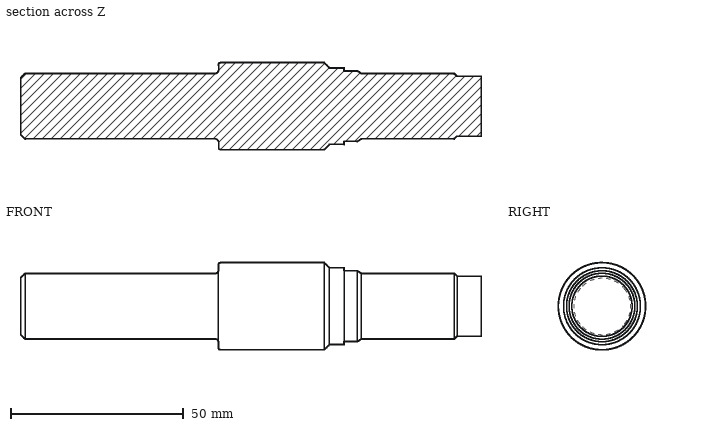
import cadquery as cq

total_length = 133.4
collar_start = 57.2
collar_end = 89.3
shoulder_end = 93.6
seat_end = 98.5
journal_end = 126.3

shank_diameter = 19.1
collar_diameter = 25.3
shoulder_diameter = 22.3
seat_diameter = 20.5
journal_diameter = 19.1
tip_diameter = 17.5

shank_chamfer = 1.3
collar_edge_radius = 0.8
collar_root_radius = 0.8
seat_taper_length = 1.1

shank_radius = shank_diameter / 2
collar_radius = collar_diameter / 2
shoulder_radius = shoulder_diameter / 2
seat_radius = seat_diameter / 2
journal_radius = journal_diameter / 2
tip_radius = tip_diameter / 2

collar_chamfer = collar_radius - shoulder_radius
journal_chamfer = journal_radius - tip_radius

profile = (
    cq.Workplane("XY")
    .moveTo(0, 0)
    .lineTo(0, shank_radius - shank_chamfer)
    .lineTo(shank_chamfer, shank_radius)
    .lineTo(collar_start - collar_root_radius, shank_radius)
    .radiusArc((collar_start, shank_radius + collar_root_radius), -collar_root_radius)
    .lineTo(collar_start, collar_radius - collar_edge_radius)
    .radiusArc((collar_start + collar_edge_radius, collar_radius), collar_edge_radius)
    .lineTo(collar_end - collar_chamfer, collar_radius)
    .lineTo(collar_end, shoulder_radius)
    .lineTo(shoulder_end, shoulder_radius)
    .lineTo(shoulder_end, seat_radius)
    .lineTo(seat_end - seat_taper_length, seat_radius)
    .lineTo(seat_end, journal_radius)
    .lineTo(journal_end - journal_chamfer, journal_radius)
    .lineTo(journal_end, tip_radius)
    .lineTo(total_length, tip_radius)
    .lineTo(total_length, 0)
    .close()
)

result = profile.revolve(360, (0, 0, 0), (1, 0, 0))